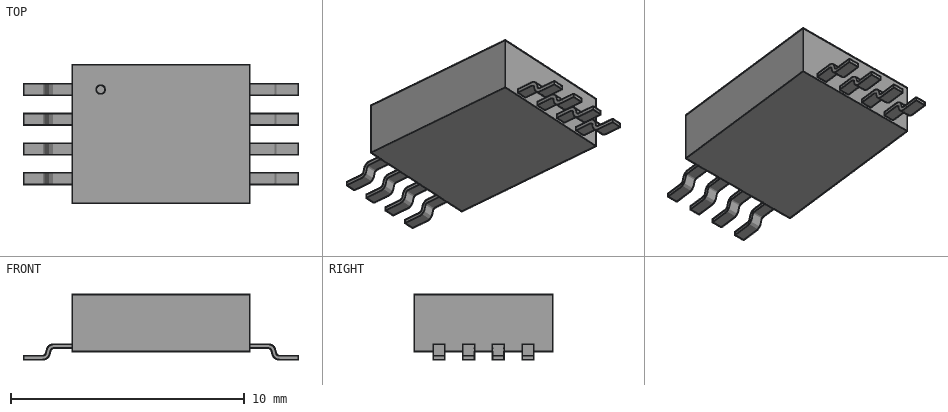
import cadquery as cq
import math

span = 11.76
total_height = 2.8

housing_length = 7.61
housing_width = 5.94
standoff = 0.35
housing_height = total_height - standoff

leads_per_side = 4
lead_pitch = 1.27
lead_width = 0.5
lead_thickness = 0.18
lead_rise = 0.49
foot_length = 0.81
bend_angle = math.radians(76)
inner_bend_radius = 0.14
bend_radius = inner_bend_radius + lead_thickness / 2

marker_diameter = 0.38
marker_depth = 0.06
marker_inset = 1.22

lead_row_end = lead_pitch * (leads_per_side - 1) / 2
lead_rows = [lead_row_end - i * lead_pitch for i in range(leads_per_side)]
marker_x = marker_inset - housing_length / 2
marker_y = lead_row_end


def make_marker():
    """Disc whose top is level with the housing top."""
    return (
        cq.Workplane("XY", origin=(marker_x, marker_y, total_height - marker_depth))
        .circle(marker_diameter / 2)
        .extrude(marker_depth)
    )


def make_housing(marker):
    """Plain block with a recess that holds the marker."""
    block = cq.Workplane("XY", origin=(0, 0, standoff)).box(
        housing_length, housing_width, housing_height, centered=(True, True, False)
    )
    return block.cut(marker)


def make_lead(y):
    """Lead on the -X side: flat foot, two equal bends joined by a steep web, and an arm to the housing."""
    bend_run = bend_radius * math.sin(bend_angle)
    bend_rise = bend_radius * (1 - math.cos(bend_angle))
    web_rise = lead_rise - 2 * bend_rise
    web_run = web_rise / math.tan(bend_angle)

    foot_z = lead_thickness / 2
    arm_z = foot_z + lead_rise
    tip = (-span / 2, foot_z)
    foot_end = (tip[0] + foot_length, foot_z)
    web_bottom = (foot_end[0] + bend_run, foot_z + bend_rise)
    web_top = (web_bottom[0] + web_run, arm_z - bend_rise)
    arm_start = (web_top[0] + bend_run, arm_z)
    arm_end = (-housing_length / 2, arm_z)

    centreline = (
        cq.Workplane("XZ", origin=(0, y, 0))
        .moveTo(*tip)
        .lineTo(*foot_end)
        .tangentArcPoint(web_bottom, relative=False)
        .lineTo(*web_top)
        .tangentArcPoint(arm_start, relative=False)
        .lineTo(*arm_end)
    )
    return (
        cq.Workplane("YZ", origin=(tip[0], y, foot_z))
        .rect(lead_width, lead_thickness)
        .sweep(centreline)
    )


marker = make_marker()
housing = make_housing(marker)
left_leads = [make_lead(y) for y in lead_rows]
right_leads = [lead.mirror("YZ") for lead in left_leads]
leads = [lead.val() for lead in left_leads + right_leads]

result = cq.Compound.makeCompound([housing.val(), marker.val(), *leads])